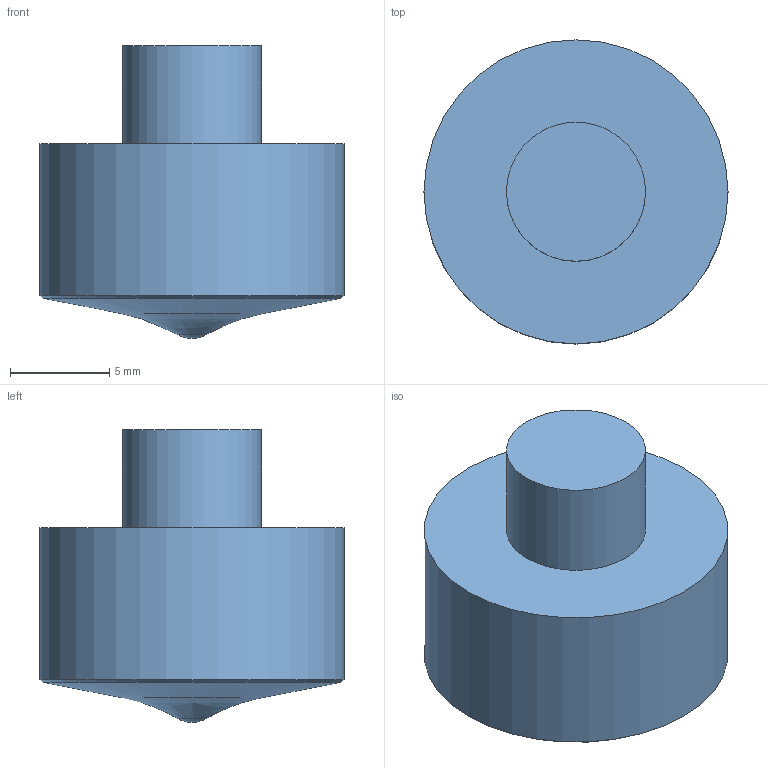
import cadquery as cq
import math

overall_height = 14.73
stem_diameter = 7.0
stem_length = 4.93
body_diameter = 15.3
rim_chamfer_width = 0.16
rim_chamfer_height = 0.13
cone_angle = math.radians(11)
flank_angle = math.radians(30)
flank_radius = 9.0
tip_radius = 1.5

stem_radius = stem_diameter / 2
body_radius = body_diameter / 2

top_z = overall_height
shoulder_z = top_z - stem_length


def slope_point(center, radius, angle):
    """Point (r, z) on the lower right of a circle where its slope equals the angle.

    A negative radius gives the upper left point, used on concave arcs.
    """
    center_r, center_z = center
    return (
        center_r + radius * math.sin(angle),
        center_z - radius * math.cos(angle),
    )


def make_profile():
    """Half section in the XZ plane, built tangent from the tip up to the rim."""
    tip_center = (0, tip_radius)
    tip_mid = slope_point(tip_center, tip_radius, flank_angle / 2)
    tip_end = slope_point(tip_center, tip_radius, flank_angle)

    flank_center = slope_point(tip_center, tip_radius + flank_radius, flank_angle)
    flank_mid = slope_point(flank_center, -flank_radius, (flank_angle + cone_angle) / 2)
    cone_start = slope_point(flank_center, -flank_radius, cone_angle)

    cone_end_r = body_radius - rim_chamfer_width
    cone_end_z = cone_start[1] + (cone_end_r - cone_start[0]) * math.tan(cone_angle)
    wall_bottom_z = cone_end_z + rim_chamfer_height

    return (
        cq.Workplane("XZ")
        .moveTo(0, 0)
        .threePointArc(tip_mid, tip_end)
        .threePointArc(flank_mid, cone_start)
        .lineTo(cone_end_r, cone_end_z)
        .lineTo(body_radius, wall_bottom_z)
        .lineTo(body_radius, shoulder_z)
        .lineTo(stem_radius, shoulder_z)
        .lineTo(stem_radius, top_z)
        .lineTo(0, top_z)
        .close()
    )


result = make_profile().revolve(360, (0, 0, 0), (0, 1, 0))